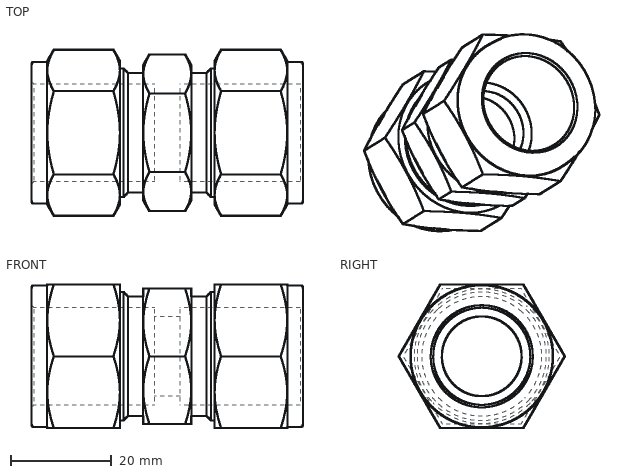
import cadquery as cq
import math

overall_length = 53.92

nut_flats = 28.575
nut_hex_length = 14.5
collar_length = 3.1
collar_radius = 14.1
collar_edge_radius = 0.5

body_flats = 26.99
body_hex_length = 9.6
neck_radius = 11.9
shoulder_radius = 12.8
shoulder_land = 0.65
shoulder_taper_length = 0.9

chamfer_angle = math.radians(30)
chamfer_relief = 0.1

through_bore_radius = 7.9
socket_radius = 9.65
socket_depth = 24.4
socket_edge_chamfer = 0.5

half_length = overall_length / 2
nut_outer_x = half_length - collar_length
nut_inner_x = nut_outer_x - nut_hex_length


def hexagon(start_x, length, across_flats):
    """Hexagonal prism along X with the corners of both ends cut by a cone."""
    corner_radius = across_flats / math.sqrt(3)
    face_radius = across_flats / 2 - chamfer_relief
    chamfer_length = (corner_radius - face_radius) * math.tan(chamfer_angle)
    end_x = start_x + length
    prism = (
        cq.Workplane("YZ", origin=(start_x, 0, 0))
        .polygon(6, 2 * corner_radius)
        .extrude(length)
    )
    envelope = (
        cq.Workplane("XZ")
        .moveTo(start_x, 0)
        .lineTo(start_x, face_radius)
        .lineTo(start_x + chamfer_length, corner_radius)
        .lineTo(end_x - chamfer_length, corner_radius)
        .lineTo(end_x, face_radius)
        .lineTo(end_x, 0)
        .close()
        .revolve(360, (0, 0, 0), (1, 0, 0))
    )
    return prism.intersect(envelope)


def half_core():
    """Round outside of the +X half: neck, tapered shoulder and rounded collar."""
    taper_end_x = nut_inner_x - shoulder_land
    taper_start_x = taper_end_x - shoulder_taper_length
    collar_start_x = nut_inner_x + nut_hex_length / 2
    core = (
        cq.Workplane("XZ")
        .lineTo(0, neck_radius)
        .lineTo(taper_start_x, neck_radius)
        .lineTo(taper_end_x, shoulder_radius)
        .lineTo(collar_start_x, shoulder_radius)
        .lineTo(collar_start_x, collar_radius)
        .lineTo(half_length, collar_radius)
        .lineTo(half_length, 0)
        .close()
        .revolve(360, (0, 0, 0), (1, 0, 0))
    )
    return core.faces(">X").edges().fillet(collar_edge_radius)


def half_bore():
    """Bore of the +X half: through bore, tube socket and chamfered mouth."""
    socket_bottom_x = half_length - socket_depth
    return (
        cq.Workplane("XZ")
        .lineTo(0, through_bore_radius)
        .lineTo(socket_bottom_x, through_bore_radius)
        .lineTo(socket_bottom_x, socket_radius)
        .lineTo(half_length - socket_edge_chamfer, socket_radius)
        .lineTo(half_length, socket_radius + socket_edge_chamfer)
        .lineTo(half_length, 0)
        .close()
        .revolve(360, (0, 0, 0), (1, 0, 0))
    )


half_outside = half_core().union(hexagon(nut_inner_x, nut_hex_length, nut_flats))
body_hexagon = hexagon(-body_hex_length / 2, body_hex_length, body_flats)
half_inside = half_bore()

outside = half_outside.union(half_outside.mirror("YZ")).union(body_hexagon)
result = outside.cut(half_inside).cut(half_inside.mirror("YZ"))